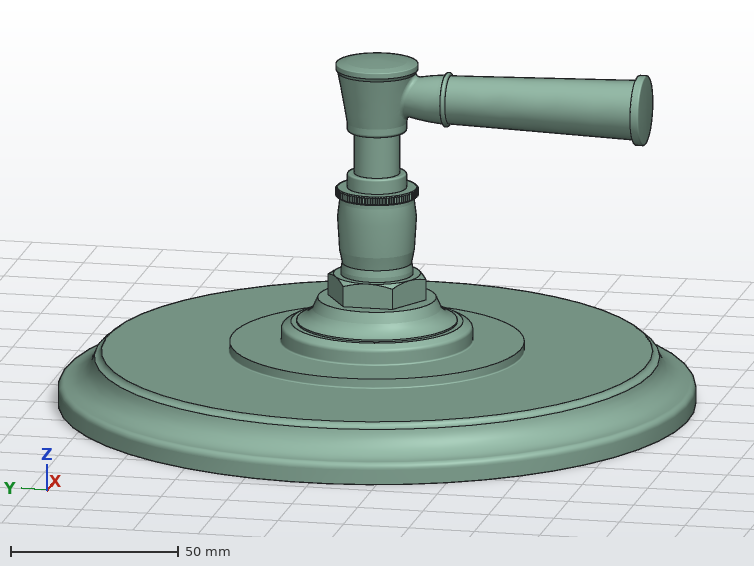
import cadquery as cq
import math

PLATE_TOP = 16.0
DISC_TOP = 19.0
BELL_TOP = 32.6
HEX_TOP = 40.0
COLLAR_BOTTOM = 64.0
COLLAR_TOP = 66.7
BOSS_TOP = 71.1
HEAD_BOTTOM = 84.0
RIM_BOTTOM = 103.2
RIM_TOP = 104.9
PART_TOP = 105.9

PLATE_R = 190.5 / 2
PLATE_WALL_TOP = 4.5
PLATE_EDGE_FILLET = 2.0
PLATE_EDGE_SWEEP = math.radians(86)
COVE_TOP_R = 84.4
COVE_TOP_Z = 14.2
PLATE_FACE_R = 82.3

DISC_R = 44.0
DISC_FOOT_FILLET = 0.4
BELL_R = 28.6
BELL_FOOT_FILLET = 0.5
BELL_WALL_TOP = 22.9
SHOULDER_LOW_R = 27.8
SHOULDER_LOW_Z = 24.1
SHOULDER_R = 25.7
SHOULDER_Z = 25.2
STEP_R = 24.0
STEP_Z = 25.7
FLARE_TOP_R = 19.2
FLARE_TOP_Z = 29.3
FLARE_SAG = 0.6
BELL_TOP_R = 17.7

HEX_FLATS = 26.0
HEX_CHAMFER_R = 13.0
HEX_CHAMFER_SLOPE = math.radians(30)

BARREL_FOOT_R = 10.8
BARREL_FOOT_Z = 41.3
BARREL_WAIST_R = 10.4
BARREL_WAIST_Z = 43.5
BARREL_LOW_R = 11.2
BARREL_LOW_Z = 47.5
BARREL_BELLY_R = 11.9
BARREL_BELLY_Z = 55.0
BARREL_HIGH_Z = 62.5

COLLAR_R = 12.4
KNURL_COUNT = 90
KNURL_DEPTH = 0.3
COLLAR_CHAMFER = 0.5
BOSS_R = 8.9
BOSS_FILLET = 0.6
SPINDLE_R = 6.85

HEAD_CYLINDER_TOP = 86.6
HEAD_FILLET = 0.8
HEAD_CONE_TOP = 102.2
HEAD_CONE_R = 11.7
RIM_R = 12.3
RIM_FILLET = 0.3
DOME_R = 9.1
DOME_EDGE_Z = 105.4

LEVER_Z = 94.8
LEVER_ROOT_R = 4.2
LEVER_ROOT = 5.0
LEVER_NECK_R = 7.3
LEVER_NECK_END = 19.8
NECK_BULGE = 0.5
RING_START = 20.8
RING_END = 22.3
RING_R = 8.2
GRIP_START_R = 7.25
GRIP_END_R = 9.0
CAP_START = 79.4
CAP_END = 82.1
CAP_R = 10.5
CAP_EDGE_FILLET = 0.5
CAP_CROWN = 0.6
LEVER_ROOT_FILLET = 1.2


def bulged(start, end, bulge):
    """Midpoint of an arc from start to end, offset to the right of travel by bulge."""
    du = end[0] - start[0]
    dv = end[1] - start[1]
    length = math.hypot(du, dv)
    mid_u = (start[0] + end[0]) / 2 + bulge * dv / length
    mid_v = (start[1] + end[1]) / 2 - bulge * du / length
    return (mid_u, mid_v)


def spin(profile):
    """Close a profile and revolve it about the vertical axis of its sketch plane."""
    return profile.close().revolve(360, (0, 0, 0), (0, 1, 0))


def wall_plate():
    edge_top = (
        PLATE_R - PLATE_EDGE_FILLET * (1 - math.cos(PLATE_EDGE_SWEEP)),
        PLATE_WALL_TOP + PLATE_EDGE_FILLET * math.sin(PLATE_EDGE_SWEEP),
    )
    cove_top = (COVE_TOP_R, COVE_TOP_Z)
    face_edge = (PLATE_FACE_R, PLATE_TOP)
    profile = (
        cq.Workplane("XZ")
        .lineTo(PLATE_R, 0)
        .lineTo(PLATE_R, PLATE_WALL_TOP)
        .radiusArc(edge_top, -PLATE_EDGE_FILLET)
        .tangentArcPoint(cove_top, relative=False)
        .radiusArc(face_edge, COVE_TOP_R - PLATE_FACE_R)
        .lineTo(0, PLATE_TOP)
    )
    return spin(profile)


def disc_and_bell():
    flare_top = (FLARE_TOP_R, FLARE_TOP_Z)
    profile = (
        cq.Workplane("XZ")
        .lineTo(DISC_R + DISC_FOOT_FILLET, 0)
        .lineTo(DISC_R + DISC_FOOT_FILLET, PLATE_TOP)
        .radiusArc((DISC_R, PLATE_TOP + DISC_FOOT_FILLET), DISC_FOOT_FILLET)
        .lineTo(DISC_R, DISC_TOP)
        .lineTo(BELL_R + BELL_FOOT_FILLET, DISC_TOP)
        .radiusArc((BELL_R, DISC_TOP + BELL_FOOT_FILLET), BELL_FOOT_FILLET)
        .lineTo(BELL_R, BELL_WALL_TOP)
        .tangentArcPoint((SHOULDER_LOW_R, SHOULDER_LOW_Z), relative=False)
        .lineTo(SHOULDER_R, SHOULDER_Z)
        .lineTo(STEP_R, SHOULDER_Z)
        .lineTo(STEP_R, STEP_Z)
        .threePointArc(bulged((STEP_R, STEP_Z), flare_top, -FLARE_SAG), flare_top)
        .lineTo(BELL_TOP_R, BELL_TOP)
        .lineTo(0, BELL_TOP)
    )
    return spin(profile)


def hex_nut():
    corner_diameter = HEX_FLATS / math.cos(math.pi / 6)
    height = HEX_TOP - BELL_TOP
    prism = (
        cq.Workplane("XY", origin=(0, 0, BELL_TOP))
        .transformed(rotate=(0, 0, 90))
        .polygon(6, corner_diameter)
        .extrude(height)
    )
    cone_base_r = HEX_CHAMFER_R + height / math.tan(HEX_CHAMFER_SLOPE)
    cone = (
        cq.Workplane("XZ")
        .moveTo(0, BELL_TOP)
        .lineTo(cone_base_r, BELL_TOP)
        .lineTo(HEX_CHAMFER_R, HEX_TOP)
        .lineTo(0, HEX_TOP)
    )
    return prism.intersect(spin(cone))


def barrel():
    profile = (
        cq.Workplane("XZ")
        .moveTo(0, HEX_TOP)
        .lineTo(BARREL_FOOT_R, HEX_TOP)
        .lineTo(BARREL_FOOT_R, BARREL_FOOT_Z)
        .lineTo(BARREL_WAIST_R, BARREL_WAIST_Z)
        .lineTo(BARREL_LOW_R, BARREL_LOW_Z)
        .threePointArc((BARREL_BELLY_R, BARREL_BELLY_Z), (BARREL_LOW_R, BARREL_HIGH_Z))
        .lineTo(BARREL_LOW_R, COLLAR_BOTTOM)
        .lineTo(0, COLLAR_BOTTOM)
    )
    return spin(profile)


def knurled_collar():
    points = []
    for index in range(2 * KNURL_COUNT):
        angle = math.pi * index / KNURL_COUNT
        radius = COLLAR_R - KNURL_DEPTH * (index % 2)
        points.append((radius * math.cos(angle), radius * math.sin(angle)))
    height = COLLAR_TOP - COLLAR_BOTTOM
    knurl = cq.Workplane("XY", origin=(0, 0, COLLAR_BOTTOM)).polyline(points).close().extrude(height)
    envelope = (
        cq.Workplane("XY", origin=(0, 0, COLLAR_BOTTOM))
        .circle(COLLAR_R)
        .extrude(height)
        .edges()
        .chamfer(COLLAR_CHAMFER)
    )
    return knurl.intersect(envelope)


def boss_and_spindle():
    boss = (
        cq.Workplane("XY", origin=(0, 0, COLLAR_TOP))
        .circle(BOSS_R)
        .extrude(BOSS_TOP - COLLAR_TOP)
        .faces(">Z")
        .edges()
        .fillet(BOSS_FILLET)
    )
    spindle = cq.Workplane("XY", origin=(0, 0, BOSS_TOP)).circle(SPINDLE_R).extrude(HEAD_BOTTOM - BOSS_TOP)
    return boss.union(spindle)


def handle_head():
    dome_edge = (DOME_R, DOME_EDGE_Z)
    dome_rise = PART_TOP - DOME_EDGE_Z
    dome_radius = (DOME_R**2 + dome_rise**2) / (2 * dome_rise)
    profile = (
        cq.Workplane("XZ")
        .moveTo(0, HEAD_BOTTOM)
        .lineTo(BOSS_R - HEAD_FILLET, HEAD_BOTTOM)
        .radiusArc((BOSS_R, HEAD_BOTTOM + HEAD_FILLET), -HEAD_FILLET)
        .lineTo(BOSS_R, HEAD_CYLINDER_TOP)
        .lineTo(HEAD_CONE_R, HEAD_CONE_TOP)
        .lineTo(RIM_R, RIM_BOTTOM)
        .lineTo(RIM_R, RIM_TOP - RIM_FILLET)
        .radiusArc((RIM_R - RIM_FILLET, RIM_TOP), -RIM_FILLET)
        .lineTo(*dome_edge)
        .radiusArc((0, PART_TOP), -dome_radius)
    )
    return spin(profile)


def lever_neck():
    """Flaring neck from inside the head out to the ring."""
    root = (LEVER_ROOT_R, LEVER_ROOT)
    end = (LEVER_NECK_R, LEVER_NECK_END)
    profile = (
        cq.Workplane("XY")
        .lineTo(LEVER_ROOT_R, 0)
        .lineTo(*root)
        .threePointArc(bulged(root, end, NECK_BULGE), end)
        .lineTo(0, LEVER_NECK_END)
    )
    return point_forward(spin(profile))


def lever_grip():
    """Ring, tapered grip and crowned end cap."""
    ring_fillet = (RING_END - RING_START) / 2
    cap_face_r = CAP_R - CAP_EDGE_FILLET
    crown_radius = (cap_face_r**2 + CAP_CROWN**2) / (2 * CAP_CROWN)
    profile = (
        cq.Workplane("XY")
        .moveTo(0, LEVER_NECK_END)
        .lineTo(LEVER_NECK_R, LEVER_NECK_END)
        .lineTo(RING_R - ring_fillet, RING_START)
        .threePointArc((RING_R, RING_START + ring_fillet), (RING_R - ring_fillet, RING_END))
        .lineTo(GRIP_START_R, RING_END)
        .lineTo(GRIP_END_R, CAP_START)
        .lineTo(cap_face_r, CAP_START)
        .radiusArc((CAP_R, CAP_START + CAP_EDGE_FILLET), -CAP_EDGE_FILLET)
        .lineTo(CAP_R, CAP_END - CAP_EDGE_FILLET)
        .radiusArc((cap_face_r, CAP_END), -CAP_EDGE_FILLET)
        .radiusArc((0, CAP_END + CAP_CROWN), -crown_radius)
    )
    return point_forward(spin(profile))


def point_forward(body):
    """Turn a body revolved about +Y to face -Y, at the lever height."""
    return body.rotate((0, 0, 0), (0, 0, 1), 180).translate((0, 0, LEVER_Z))


def handle():
    joined = handle_head().union(lever_neck())
    seam_box = cq.selectors.BoxSelector(
        (-LEVER_NECK_R, -HEAD_CONE_R, LEVER_Z - LEVER_NECK_R),
        (LEVER_NECK_R, -BOSS_R, LEVER_Z + LEVER_NECK_R),
    )
    return joined.edges(seam_box).fillet(LEVER_ROOT_FILLET).union(lever_grip())


result = wall_plate()
for body in (disc_and_bell(), hex_nut(), barrel(), knurled_collar(), boss_and_spindle(), handle()):
    result = result.union(body)